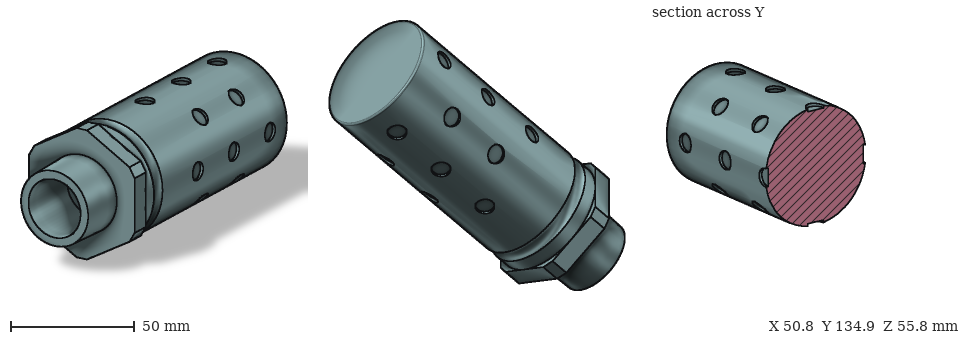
import cadquery as cq
import math

total_length = 134.9
nozzle_length = 20.4
hex_thickness = 8.5
hex_back = nozzle_length + hex_thickness
groove_front = 35.0
groove_width = 6.2
groove_depth = 1.5
groove_back = groove_front + groove_width

across_flats = 50.8
across_corners = 55.8
body_radius = across_flats / 2
back_fillet = 0.8
nozzle_tip_radius = 16.2
nozzle_base_radius = 16.9
bore_radius = 12.5
bore_depth = hex_back

port_diameter = 7.8
port_depth = 1.3
port_pitch = 27.0
last_port_y = total_length - 13.2
columns = 8
ports_in_long_row = 3
ports_in_short_row = 2


def hexagon(flat_distance, flat_on_x):
    """Hexagonal plate with a pair of flats facing X or Z."""
    plate = (
        cq.Workplane("XZ", origin=(0, hex_back, 0))
        .polygon(6, flat_distance / math.cos(math.pi / 6))
        .extrude(hex_thickness)
    )
    turn = 30 if flat_on_x else 0
    return plate.rotate((0, 0, 0), (0, 1, 0), turn)


def revolved_body():
    """Tapered nozzle and cylindrical body with a round neck groove."""
    return (
        cq.Workplane("XY")
        .moveTo(0, 0)
        .lineTo(nozzle_tip_radius, 0)
        .lineTo(nozzle_base_radius, nozzle_length)
        .lineTo(nozzle_base_radius, hex_back)
        .lineTo(body_radius, hex_back)
        .lineTo(body_radius, groove_front)
        .threePointArc(
            (body_radius - groove_depth, groove_front + groove_width / 2),
            (body_radius, groove_back),
        )
        .lineTo(body_radius, total_length)
        .lineTo(0, total_length)
        .close()
        .revolve(360, (0, 0, 0), (0, 1, 0))
        .faces(">Y")
        .edges()
        .fillet(back_fillet)
    )


def port_row(start_y, count, angle):
    """Flat-bottomed ports along the body, turned about its axis."""
    centers = [(0, start_y - i * port_pitch) for i in range(count)]
    return (
        cq.Workplane("XY", origin=(0, 0, body_radius - port_depth))
        .pushPoints(centers)
        .circle(port_diameter / 2)
        .extrude(2 * port_depth)
        .rotate((0, 0, 0), (0, 1, 0), angle)
    )


hex_flange = hexagon(across_flats, True).intersect(hexagon(across_corners, False))
result = revolved_body().union(hex_flange)

bore = cq.Workplane("XZ").circle(bore_radius).extrude(-bore_depth)
result = result.cut(bore)

for column in range(columns):
    column_angle = column * 360 / columns
    if column % 2 == 0:
        ports = port_row(last_port_y, ports_in_long_row, column_angle)
    else:
        ports = port_row(last_port_y - port_pitch / 2, ports_in_short_row, column_angle)
    result = result.cut(ports)